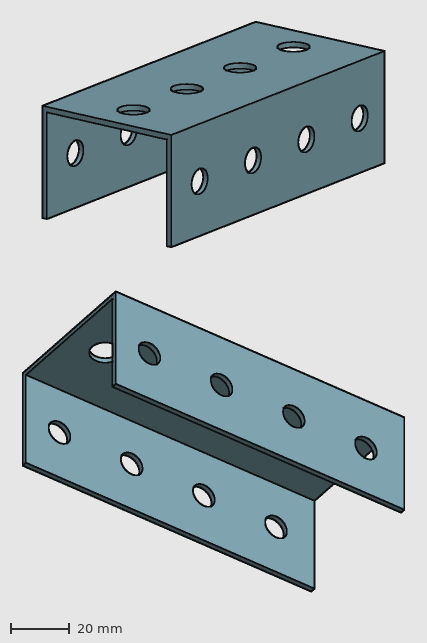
import cadquery as cq

width = 55.0
length = 120.0
height = 40.0
thickness = 2.0

hole_count = 4
hole_pitch = 30.0
web_hole_diameter = 11.0
web_first_hole = 15.0
side_hole_diameter = 9.0
side_first_hole = 14.0
side_hole_height = 19.5


def channel():
    """U-shaped channel, open downwards, centred on X and Y with its bottom at Z = 0."""
    outer = cq.Workplane("XY").box(width, length, height, centered=(True, True, False))
    inner = cq.Workplane("XY").box(
        width - 2 * thickness, length, height - thickness, centered=(True, True, False)
    )
    return outer.cut(inner)


def row_positions(first_hole):
    """Y positions of a row of holes whose first hole is first_hole from the +Y end."""
    return [length / 2 - first_hole - i * hole_pitch for i in range(hole_count)]


def web_holes():
    """Vertical holes along the centreline of the top web."""
    points = [(0, y) for y in row_positions(web_first_hole)]
    return cq.Workplane("XY").pushPoints(points).circle(web_hole_diameter / 2).extrude(height)


def side_holes():
    """Holes along X that pass through both side walls."""
    points = [(y, side_hole_height) for y in row_positions(side_first_hole)]
    sketch = cq.Workplane("YZ").pushPoints(points).circle(side_hole_diameter / 2)
    return sketch.extrude(width / 2, both=True)


result = channel().cut(web_holes()).cut(side_holes())